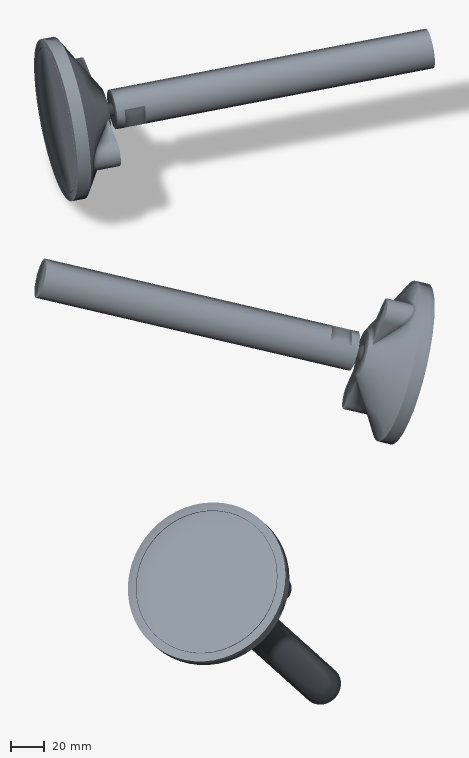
import cadquery as cq

total_length = 230.0

base_diameter = 98.0
rim_height = 8.0
base_height = 30.0
cone_top_diameter = 29.0

pad_diameter = 87.5
pad_recess_diameter = 88.0
pad_groove_depth = 1.0

lug_span = 88.3
lug_width = 16.5
lug_top = 27.8

ball_diameter = 12.5
ball_center = 26.7
neck_diameter = 7.8

rod_diameter = 24.0
rod_start = 34.7
flat_start = 39.5
flat_length = 12.6
across_flats = 18.9


def cylinder(diameter, start, end):
    """Solid cylinder on the Y axis between two Y positions."""
    return cq.Workplane("XZ", origin=(0, start, 0)).circle(diameter / 2).extrude(start - end)


def make_base():
    """Flat rim below a cone, with a fine ring groove around the pad."""
    base_radius = base_diameter / 2
    base = (
        cq.Workplane("XY")
        .lineTo(base_radius, 0)
        .lineTo(base_radius, rim_height)
        .lineTo(cone_top_diameter / 2, base_height)
        .lineTo(0, base_height)
        .close()
        .revolve(360, (0, 0, 0), (0, 1, 0))
    )
    pad = cylinder(pad_diameter, 0, pad_groove_depth)
    groove = cylinder(pad_recess_diameter, 0, pad_groove_depth).cut(pad)
    return base.cut(groove)


def make_lugs():
    """Round-ended bar across the cone, forming a lug on either side."""
    bar_start = rim_height / 2
    return (
        cq.Workplane("XZ", origin=(0, bar_start, 0))
        .slot2D(lug_span, lug_width)
        .extrude(bar_start - lug_top)
    )


def make_ball_joint():
    """Ball seated in the cone, with the neck leading to the rod."""
    ball = cq.Workplane("XY", origin=(0, ball_center, 0)).sphere(ball_diameter / 2)
    return ball.union(cylinder(neck_diameter, ball_center, rod_start))


def make_rod():
    """Plain rod with two opposite wrench flats."""
    rod = cylinder(rod_diameter, rod_start, total_length)
    flat_depth = (rod_diameter - across_flats) / 2
    for side in (-1, 1):
        cutter = cq.Workplane("XY").box(flat_depth, flat_length, rod_diameter)
        flat_x = side * (across_flats + flat_depth) / 2
        rod = rod.cut(cutter.translate((flat_x, flat_start + flat_length / 2, 0)))
    return rod


result = make_base().union(make_lugs()).union(make_ball_joint()).union(make_rod())